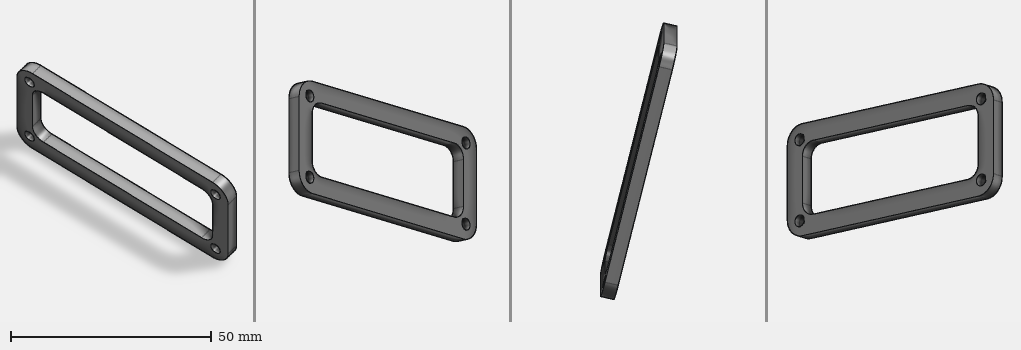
import cadquery as cq

length = 67.15
height = 29.1
thickness = 3.4
outer_radius = 5.0

frame_width = 5.0
window_radius = 3.5
window_length = length - 2 * frame_width
window_height = height - 2 * frame_width

hole_diameter = 3.0
hole_inset = 4.0
hole_spacing_x = length - 2 * hole_inset
hole_spacing_z = height - 2 * hole_inset


def rounded_plate(size_x, size_z, corner_radius):
    """Plate centred on the origin, with its corners rounded about the Y axis."""
    return cq.Workplane("XY").box(size_x, thickness, size_z).edges("|Y").fillet(corner_radius)


def corner_holes():
    """Four pins along Y that cut the screw holes."""
    return (
        cq.Workplane("XZ")
        .rect(hole_spacing_x, hole_spacing_z, forConstruction=True)
        .vertices()
        .circle(hole_diameter / 2)
        .extrude(thickness, both=True)
    )


plate = rounded_plate(length, height, outer_radius)
window = rounded_plate(window_length, window_height, window_radius)
result = plate.cut(window).cut(corner_holes())